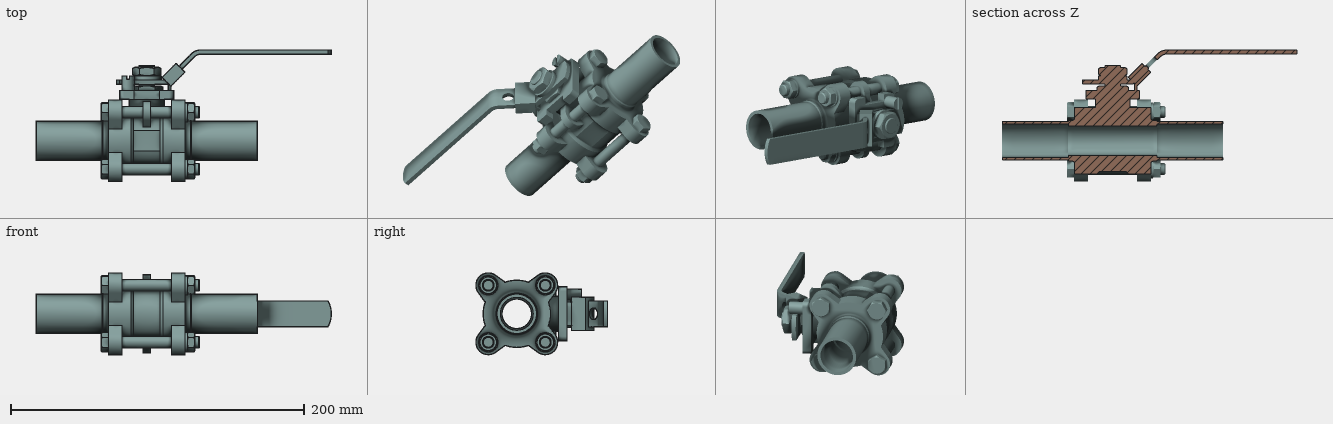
import cadquery as cq
import math


pipe_half_length = 75.5
pipe_diameter = 26.9
pipe_bore = 22.5
ball_bore = 20.0

hub_diameter = 28.3
hub_half_length = 30.4
hub_bevel = (hub_diameter - pipe_diameter) / 2
hub_fillet = 1.4

cap_diameter = 46.0
cap_outer_x = 26.2
cap_inner_x = 10.9
flange_inner_x = 16.8

bolt_circle = 55.0
bolt_offset = bolt_circle / 2 * math.sqrt(0.5)
flange_ear_radius = 8.5
ear_root_radius = 11.0
flange_ear_taper = 9.0

body_half_length = 9.1
cap_lip_bevel = cap_inner_x - body_half_length
body_diameter = cap_diameter - 2 * cap_lip_bevel
body_flat_width = 14.0
lug_thickness = 5.2
lug_radius = 7.2
lug_taper = -3.0

hexagon_bevel_angle = 30.0

bolt_diameter = 8.0
hex_across_flats = 11.7
nut_face_diameter = 11.3
bolt_head_height = 4.9
bolt_end_x = 36.0
bolt_tip_chamfer = 0.6
nut_washer_diameter = 13.2
nut_washer_height = 1.4
nut_height = 5.2

neck_diameter = 24.0
pad_bottom_y = 28.3
pad_thickness = 6.1
pad_width = 37.0
pad_corner_radius = 3.0
pad_recess_width = 17.2
pad_recess_depth = 5.0
pad_top_y = pad_bottom_y + pad_thickness

stem_diameter = 10.8
stem_top_y = 51.4
stem_chamfer = 0.4
gland_across_flats = 19.0
gland_height = 3.0
stem_washer_diameter = 20.0
stem_nut_across_flats = 17.0
stem_nut_face_diameter = 16.2
stem_nut_bottom_y = 44.2
stem_nut_height = 6.0

stop_circle = 36.0
stop_offset = stop_circle / 2 * math.sqrt(0.5)
stop_diameter = 8.5
stop_height = 9.8
stop_slot_width = 1.6
stop_slot_depth = 2.2

lever_thickness = 3.0
lever_width = 17.8
lever_bottom_y = 38.5
lever_top_y = 62.0
lever_tail_x = -20.85
lever_tip_x = 125.95
lever_slope = 45.0
lever_slope_foot_x = 12.6
lever_bend_radius = 6.0
lever_end_radius = 18.0
lever_hole_diameter = 7.94
lever_hole_y = 53.3

latch_length = 13.6
latch_thickness = 8.5
latch_width = 22.8
latch_center_y = 45.0
latch_leg_left_x = 14.5
latch_leg_thickness = 2.1
latch_leg_width = 16.0


def cylinder_x(diameter, x_start, x_end):
    return cq.Workplane("YZ", origin=(x_start, 0, 0)).circle(diameter / 2).extrude(x_end - x_start)


def cylinder_y(diameter, y_start, y_end, x=0, z=0):
    return cq.Workplane("XZ", origin=(x, y_start, z)).circle(diameter / 2).extrude(y_start - y_end)


def box_between(x_range, y_range, z_range):
    spans = [high - low for low, high in (x_range, y_range, z_range)]
    return cq.Workplane("XY").box(*spans, centered=False).translate((x_range[0], y_range[0], z_range[0]))


def hexagon(across_flats, face_diameter, height, turn=0, bevel_bottom=False):
    """Hexagon prism standing on Z = 0, its corners cut by cones down to a round end face."""
    corner = across_flats / math.sqrt(3)
    face_radius = face_diameter / 2
    bevel_depth = (corner - face_radius) * math.tan(math.radians(hexagon_bevel_angle))
    prism = cq.Workplane("XY").polygon(6, 2 * corner).extrude(height)
    bottom = [(face_radius, 0), (corner, bevel_depth)] if bevel_bottom else [(corner, 0)]
    top = [(corner, height - bevel_depth), (face_radius, height)]
    profile = [(0, 0)] + bottom + top + [(0, height)]
    cone = cq.Workplane("XZ").polyline(profile).close().revolve(360, (0, 0), (0, 1))
    return prism.intersect(cone).rotate((0, 0, 0), (0, 0, 1), turn)


def bolt_ear(radius, taper, x_start, thickness, y_sign, z_sign):
    """Rounded ear around one bolt, with straight flanks running towards the pipe axis."""
    diagonal = math.atan2(z_sign, y_sign)
    center = (bolt_offset * y_sign, bolt_offset * z_sign)
    flank_length = bolt_circle / 2 - ear_root_radius
    points = []
    for side in (1, -1):
        normal = diagonal + side * math.radians(90 - taper)
        inward = diagonal + side * math.radians(180 - taper)
        tangent = (center[0] + radius * math.cos(normal), center[1] + radius * math.sin(normal))
        root = (
            tangent[0] + flank_length * math.cos(inward),
            tangent[1] + flank_length * math.sin(inward),
        )
        points.append((tangent, root))
    (left_tangent, left_root), (right_tangent, right_root) = points
    tip_reach = bolt_circle / 2 + radius
    tip = (tip_reach * math.cos(diagonal), tip_reach * math.sin(diagonal))
    return (
        cq.Workplane("YZ", origin=(x_start, 0, 0))
        .moveTo(*left_root)
        .lineTo(*left_tangent)
        .threePointArc(tip, right_tangent)
        .lineTo(*right_root)
        .close()
        .extrude(thickness)
    )


def end_piece():
    """Pipe stub, weld hub and eared cap on the -X side."""
    cap = cylinder_x(cap_diameter, -cap_outer_x, -body_half_length).faces(">X").chamfer(cap_lip_bevel)
    thickness = cap_outer_x - flange_inner_x
    for y_sign in (1, -1):
        for z_sign in (1, -1):
            ear = bolt_ear(flange_ear_radius, flange_ear_taper, -cap_outer_x, thickness, y_sign, z_sign)
            cap = cap.union(ear)
    pipe_radius = pipe_diameter / 2
    hub_radius = hub_diameter / 2
    pipe_and_hub = (
        cq.Workplane("XY")
        .moveTo(-pipe_half_length, 0)
        .lineTo(-pipe_half_length, pipe_radius)
        .lineTo(-hub_half_length, pipe_radius)
        .lineTo(-hub_half_length + hub_bevel, hub_radius)
        .lineTo(-cap_outer_x - hub_fillet, hub_radius)
        .radiusArc((-cap_outer_x, hub_radius + hub_fillet), -hub_fillet)
        .lineTo(-cap_outer_x, 0)
        .close()
        .revolve(360, (0, 0), (1, 0))
    )
    return cap.union(pipe_and_hub)


def body():
    flat_distance = math.sqrt((body_diameter / 2) ** 2 - (body_flat_width / 2) ** 2)
    barrel = cylinder_x(body_diameter, -body_half_length, body_half_length)
    flats = cq.Workplane("XY").box(2 * body_half_length, body_diameter, 2 * flat_distance)
    barrel = barrel.intersect(flats)
    barrel = barrel.union(cylinder_y(neck_diameter, 0, pad_bottom_y))
    lug_x_range = (-lug_thickness / 2, lug_thickness / 2)
    lug_bridge = box_between(
        lug_x_range, (bolt_offset, bolt_offset + lug_radius), (-bolt_offset, bolt_offset)
    )
    barrel = barrel.union(lug_bridge)
    for z_sign in (1, -1):
        lug = bolt_ear(lug_radius, lug_taper, lug_x_range[0], lug_thickness, 1, z_sign)
        barrel = barrel.union(lug)
    return barrel


def bolt(turn):
    shank = cylinder_x(bolt_diameter, -cap_outer_x, bolt_end_x).faces(">X").chamfer(bolt_tip_chamfer)
    head = hexagon(hex_across_flats, hex_across_flats, bolt_head_height, turn)
    head = head.rotate((0, 0, 0), (0, 1, 0), -90)
    washer_end_x = cap_outer_x + nut_washer_height
    washer = cylinder_x(nut_washer_diameter, cap_outer_x, washer_end_x)
    nut = hexagon(hex_across_flats, nut_face_diameter, nut_height, turn, bevel_bottom=True)
    nut = nut.rotate((0, 0, 0), (0, 1, 0), 90)
    return (
        shank.union(head.translate((-cap_outer_x, 0, 0)))
        .union(washer)
        .union(nut.translate((washer_end_x, 0, 0)))
    )


def bolts():
    group = cq.Workplane("XY")
    for y_sign in (1, -1):
        for z_sign in (1, -1):
            turn = 0 if y_sign == z_sign else 30
            group = group.union(bolt(turn).translate((0, bolt_offset * y_sign, bolt_offset * z_sign)))
    return group


def mounting_pad():
    side = (-pad_width / 2, pad_width / 2)
    pad = box_between(side, (pad_bottom_y, pad_top_y), side)
    pad = pad.edges("|Y").fillet(pad_corner_radius)
    for z_sign in (1, -1):
        recess = cq.Workplane("XY").box(pad_recess_width, pad_thickness, 2 * pad_recess_depth)
        pad = pad.cut(recess.translate((0, pad_bottom_y + pad_thickness / 2, z_sign * pad_width / 2)))
    return pad


def along_stem(shape, y):
    """Stand a shape built on Z = 0 along +Y, starting at height y."""
    return shape.rotate((0, 0, 0), (1, 0, 0), -90).translate((0, y, 0))


def stem():
    shaft = cylinder_y(stem_diameter, pad_bottom_y, stem_top_y).faces(">Y").chamfer(stem_chamfer)
    gland = along_stem(hexagon(gland_across_flats, gland_across_flats, gland_height), pad_top_y)
    washer = cylinder_y(stem_washer_diameter, lever_bottom_y + lever_thickness, stem_nut_bottom_y)
    nut = hexagon(stem_nut_across_flats, stem_nut_face_diameter, stem_nut_height, bevel_bottom=True)
    nut = along_stem(nut, stem_nut_bottom_y)
    return shaft.union(gland).union(washer).union(nut)


def stop_screw():
    top_y = pad_top_y + stop_height
    screw = cylinder_y(stop_diameter, pad_bottom_y, top_y, -stop_offset, stop_offset)
    slot = cq.Workplane("XY").box(stop_slot_width, 2 * stop_slot_depth, 2 * stop_diameter)
    return screw.cut(slot.translate((-stop_offset, top_y, stop_offset)))


def slope_point_x(y):
    """X of the sloped leg's mid-plane at height y."""
    slope = math.radians(lever_slope)
    upper_face_x = lever_slope_foot_x + (y - lever_bottom_y - lever_thickness) / math.tan(slope)
    return upper_face_x + lever_thickness / 2 / math.sin(slope)


def lever():
    slope = math.radians(lever_slope)
    bend_shift = lever_thickness * math.tan(slope / 2)
    foot_top_y = lever_bottom_y + lever_thickness
    handle_bottom_y = lever_top_y - lever_thickness
    upper_bend_x = lever_slope_foot_x + (lever_top_y - foot_top_y) / math.tan(slope)
    profile = (
        cq.Workplane("XY", origin=(0, 0, -lever_width / 2))
        .moveTo(lever_tail_x, lever_bottom_y)
        .lineTo(lever_slope_foot_x + bend_shift, lever_bottom_y)
        .lineTo(upper_bend_x + bend_shift, handle_bottom_y)
        .lineTo(lever_tip_x, handle_bottom_y)
        .lineTo(lever_tip_x, lever_top_y)
        .lineTo(upper_bend_x, lever_top_y)
        .lineTo(lever_slope_foot_x, foot_top_y)
        .lineTo(lever_tail_x, foot_top_y)
        .close()
        .extrude(lever_width)
    )
    outer_bend = cq.selectors.NearestToPointSelector((upper_bend_x, lever_top_y, 0))
    inner_bend = cq.selectors.NearestToPointSelector((upper_bend_x + bend_shift, handle_bottom_y, 0))
    bent = profile.edges(outer_bend).fillet(lever_bend_radius + lever_thickness)
    bent = bent.edges(inner_bend).fillet(lever_bend_radius)

    end_bulge = lever_end_radius - math.sqrt(lever_end_radius**2 - (lever_width / 2) ** 2)
    plan = (
        cq.Workplane("XZ")
        .moveTo(lever_tail_x + end_bulge, -lever_width / 2)
        .lineTo(lever_tip_x - end_bulge, -lever_width / 2)
        .threePointArc((lever_tip_x, 0), (lever_tip_x - end_bulge, lever_width / 2))
        .lineTo(lever_tail_x + end_bulge, lever_width / 2)
        .threePointArc((lever_tail_x, 0), (lever_tail_x + end_bulge, -lever_width / 2))
        .close()
        .extrude(-lever_top_y)
    )
    hole = cylinder_y(lever_hole_diameter, -2 * lever_thickness, 2 * lever_thickness)
    hole = hole.rotate((0, 0, 0), (0, 0, 1), lever_slope)
    return bent.intersect(plan).cut(hole.translate((slope_point_x(lever_hole_y), lever_hole_y, 0)))


def latch():
    block = cq.Workplane("XY").box(latch_length, latch_thickness, latch_width)
    block = block.rotate((0, 0, 0), (0, 0, 1), lever_slope)
    block = block.translate((slope_point_x(latch_center_y), latch_center_y, 0))
    leg = box_between(
        (latch_leg_left_x, latch_leg_left_x + latch_leg_thickness),
        (pad_top_y, latch_center_y),
        (-latch_leg_width / 2, latch_leg_width / 2),
    )
    return block.union(leg)


def bores():
    through = cylinder_x(ball_bore, -pipe_half_length, pipe_half_length)
    for sign in (1, -1):
        through = through.union(cylinder_x(pipe_bore, sign * hub_half_length, sign * pipe_half_length))
    return through


left_end = end_piece()
valve = body().union(left_end).union(left_end.mirror("YZ"))
valve = valve.cut(bores())
for component in (bolts(), mounting_pad(), stem(), stop_screw(), lever(), latch()):
    valve = valve.union(component)

result = valve